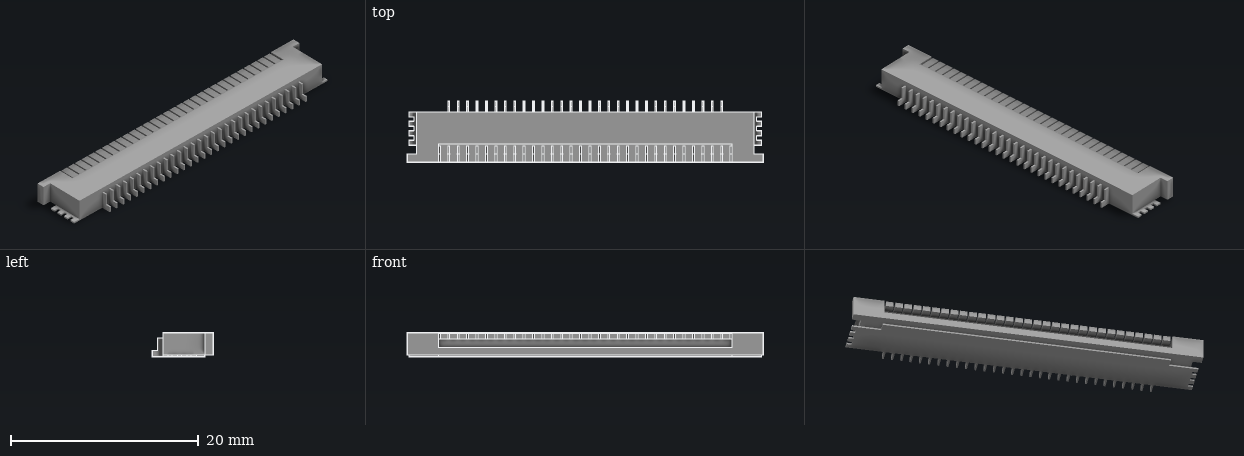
import cadquery as cq

length = 37.92
depth = 6.52
height = 2.58

housing_width = 35.95
housing_back = 5.4
housing_bottom = 0.2
ear_depth = 0.9

pitch = 1.0
slot_count = 32
slot_width = 0.2
slot_back = 1.75
slot_floor = 1.9
opening_floor = 1.0
opening_depth = ear_depth
opening_width = (slot_count - 1) * pitch + slot_width
teeth_back = 1.95
teeth_drop = 0.08

plate_front = 1.82
plate_width = 36.48
finger_span = 37.55
finger_count = 4
finger_width = housing_back - plate_front - (finger_count - 1) * pitch

tail_count = slot_count - 2
tail_width = 0.2
shoulder_back = 5.95
shoulder_top = 2.0
foot_top = 0.7


def block(width, front, back, bottom, top, center_x=0.0):
    """Box centred on center_x, between the given Y and Z limits."""
    box = cq.Workplane("XY").box(width, back - front, top - bottom, centered=(True, False, False))
    return box.translate((center_x, front, bottom))


def row_positions(count):
    """Centres of a row of features spaced one pitch apart about X = 0."""
    return [(i - (count - 1) / 2) * pitch for i in range(count)]


def make_housing():
    """Long body with ears at the mating face, an opening and slotted teeth."""
    body = block(housing_width, 0, housing_back, housing_bottom, height)
    body = body.union(block(length, 0, ear_depth, housing_bottom, height))
    body = body.cut(block(opening_width, 0, opening_depth, opening_floor, slot_floor))
    body = body.cut(block(opening_width, 0, teeth_back, height - teeth_drop, height))
    for x in row_positions(slot_count):
        body = body.cut(block(slot_width, 0, slot_back, slot_floor, height, x))
    return body


def make_base():
    """Thin plate under the housing, narrower in front, with a comb of fingers on each side."""
    base = block(opening_width, ear_depth, housing_back, 0, housing_bottom)
    base = base.union(block(plate_width, plate_front, housing_back, 0, housing_bottom))
    for i in range(finger_count):
        front = plate_front + i * pitch
        base = base.union(block(finger_span, front, front + finger_width, 0, housing_bottom))
    return base


def make_tail(x):
    """L-shaped tail: a tall shoulder against the housing and a low foot."""
    profile = [
        (housing_back, 0),
        (depth, 0),
        (depth, foot_top),
        (shoulder_back, foot_top),
        (shoulder_back, shoulder_top),
        (housing_back, shoulder_top),
    ]
    tail = cq.Workplane("YZ").polyline(profile).close().extrude(tail_width / 2, both=True)
    return tail.translate((x, 0, 0))


result = make_housing().union(make_base())
for tail_x in row_positions(tail_count):
    result = result.union(make_tail(tail_x))